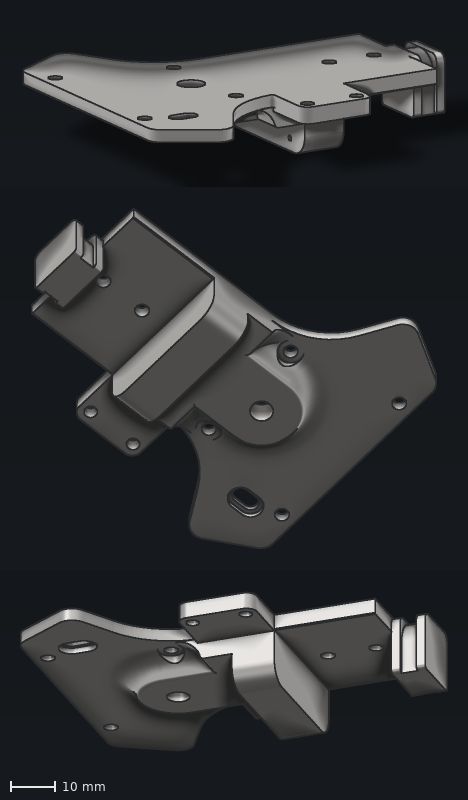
import cadquery as cq
import math


plate_thickness = 3.0
body_half_width = 17.3
body_back_y = 54.3
front_y = -27.6
neck_arc_start_y = 12.25
neck_arc_radius = 20.0
neck_turn = math.radians(60)
wing_side_length = 13.0
front_edge_half_width = 29.2
wing_corner_radius = 3.7

deck_thickness = 3.8
deck_edge_chamfer = 0.3
tab_thickness = 4.0
tab_right_x = 30.9
tab_front_y = 11.35
tab_corner_radius = 2.5
tab_root_radius = 0.7

block_back_y = 29.9
block_depth = 8.0
flare_radius = 6.0
bottom_edge_radius = 1.0
boss_flare_reach = 15.3
block_flare_front_y = 6.0

bar_depth = 16.0
bar_length = 10.3
bar_corner_radius = 4.9

spool_width = 14.05
spool_height = 14.1
spool_length = 8.2
flange_length = 2.2
flange_top_radius = 2.0
flange_bottom_radius = 1.0
spool_core_radius = 6.0

pivot_top_diameter = 6.4
pivot_bottom_diameter = 5.2
mount_hole_diameter = 3.2
rear_hole_points = [(0, 48.0), (0, 36.3)]
shoulder_hole_points = [(-13.9, 3.6), (13.9, 3.6)]
front_hole_points = [(-19.9, -24.0), (19.9, -24.0)]
mount_hole_points = rear_hole_points + shoulder_hole_points + front_hole_points
head_clearance_diameter = 6.0
tab_hole_diameter = 3.0
tab_hole_points = [(27.8, 27.0), (27.8, 14.1)]
slot_width = 4.0
slot_length = 6.9
slot_recess_z = 1.5
slot_recess_margin = 1.0
slot_center = (22.9, -15.6)
pin_hole_diameter = 1.3
pin_hole_depth = 7.2
pin_hole_x = 10.6
pin_hole_z = -13.0

selection_margin = 0.9


def box(x_min, x_max, y_min, y_max, z_min, z_max):
    size = (x_max - x_min, y_max - y_min, z_max - z_min)
    return cq.Workplane("XY").box(*size, centered=False).translate((x_min, y_min, z_min))


def make_plate():
    """Flat plate whose narrow body sweeps out into two square-ended wings at the front."""
    turn_x = body_half_width + neck_arc_radius * (1 - math.cos(neck_turn))
    turn_y = neck_arc_start_y - neck_arc_radius * math.sin(neck_turn)
    middle_x = body_half_width + neck_arc_radius * (1 - math.cos(neck_turn / 2))
    middle_y = neck_arc_start_y - neck_arc_radius * math.sin(neck_turn / 2)
    wing_x = turn_x + wing_side_length * math.sin(neck_turn)
    wing_y = turn_y - wing_side_length * math.cos(neck_turn)
    plate = (
        cq.Workplane("XY")
        .moveTo(-body_half_width, body_back_y)
        .lineTo(-body_half_width, neck_arc_start_y)
        .threePointArc((-middle_x, middle_y), (-turn_x, turn_y))
        .lineTo(-wing_x, wing_y)
        .lineTo(-front_edge_half_width, front_y)
        .lineTo(front_edge_half_width, front_y)
        .lineTo(wing_x, wing_y)
        .lineTo(turn_x, turn_y)
        .threePointArc((middle_x, middle_y), (body_half_width, neck_arc_start_y))
        .lineTo(body_half_width, body_back_y)
        .close()
        .extrude(-plate_thickness)
    )
    wing_corners = cq.selectors.BoxSelector(
        (-wing_x - selection_margin, front_y - selection_margin, -plate_thickness),
        (wing_x + selection_margin, wing_y + selection_margin, 0),
    )
    return plate.edges("|Z").edges(wing_corners).fillet(wing_corner_radius)


def make_deck():
    """Thicker rear part of the plate, with its long lower edges chamfered."""
    deck = box(-body_half_width, body_half_width, block_back_y, body_back_y, -deck_thickness, 0)
    return deck.edges("|Y and <Z").chamfer(deck_edge_chamfer)


def make_tab():
    """Side tab with two rounded outer corners."""
    tab = box(0, tab_right_x, tab_front_y, block_back_y, -tab_thickness, 0)
    return tab.edges("|Z and >X").fillet(tab_corner_radius)


def flare_profile(plane, outer, inside):
    """Section of an underside wall that ends at outer: a concave flare tangent to the plate bottom,
    running tangent into the rounded bottom edge."""
    flare_z = -plate_thickness - flare_radius
    edge_z = -block_depth + bottom_edge_radius
    lean = math.asin((edge_z - flare_z) / (flare_radius + bottom_edge_radius))
    edge_x = outer - (flare_radius + bottom_edge_radius) * math.cos(lean)

    def on_flare(angle):
        return (outer - flare_radius * math.cos(angle), flare_z + flare_radius * math.sin(angle))

    def on_edge(angle):
        return (
            edge_x + bottom_edge_radius * math.cos(angle),
            edge_z - bottom_edge_radius * math.sin(angle),
        )

    right_angle = math.pi / 2
    middle = (lean + right_angle) / 2
    return (
        cq.Workplane(plane)
        .moveTo(inside, -plate_thickness)
        .lineTo(inside, -block_depth)
        .lineTo(edge_x, -block_depth)
        .threePointArc(on_edge(middle), on_edge(lean))
        .threePointArc(on_flare(middle), on_flare(right_angle))
        .close()
    )


def make_underside():
    """Full-width block with a flared end, and a round-ended flared boss around the pivot."""
    block = (
        flare_profile("YZ", -block_flare_front_y, -block_back_y)
        .extrude(body_half_width, both=True)
        .mirror("XZ")
    )
    nose = flare_profile("XZ", boss_flare_reach, 0).revolve(360, (0, 0, 0), (0, 1, 0))
    side = flare_profile("XZ", boss_flare_reach, 0).extrude(-block_back_y / 2)
    return block.union(nose).union(side).union(side.mirror("YZ"))


def make_bar():
    """Bar hanging below the block, with round lower corners and two blind, pointed pin holes."""
    bar = box(
        -body_half_width, body_half_width, block_back_y - bar_length, block_back_y, -bar_depth, 0
    )
    bar = bar.edges("|Y and <Z").fillet(bar_corner_radius)
    front_face_y = block_back_y - bar_length
    pin_radius = pin_hole_diameter / 2
    inward = cq.Vector(0, 1, 0)
    for x in (-pin_hole_x, pin_hole_x):
        mouth = cq.Vector(x, front_face_y, pin_hole_z)
        bar = bar.cut(cq.Solid.makeCylinder(pin_radius, pin_hole_depth, mouth, inward))
        tip_base = mouth + inward * pin_hole_depth
        bar = bar.cut(cq.Solid.makeCone(pin_radius, 0, pin_radius, tip_base, inward))
    return bar


def make_spool():
    """Two rounded flanges joined by a core that is round on top and straight-sided below."""
    back_y = body_back_y + spool_length
    half_width = spool_width / 2
    flange = box(-half_width, half_width, body_back_y, body_back_y + flange_length, -spool_height, 0)
    flange = flange.edges("|Y and >Z").fillet(flange_top_radius)
    flange = flange.edges("|Y and <Z").fillet(flange_bottom_radius)
    core = box(
        -spool_core_radius, spool_core_radius, body_back_y, back_y, -spool_height, -spool_core_radius
    )
    round_top = (
        cq.Workplane("XZ", origin=(0, body_back_y, -spool_core_radius))
        .circle(spool_core_radius)
        .extrude(-spool_length)
    )
    back_flange = flange.translate((0, spool_length - flange_length, 0))
    return core.union(round_top).union(flange).union(back_flange)


def vertical_holes(points, diameter, top_z=0):
    """Cylinders running down from top_z through the whole part."""
    return (
        cq.Workplane("XY", origin=(0, 0, top_z))
        .pushPoints(points)
        .circle(diameter / 2)
        .extrude(-bar_depth)
    )


def make_pivot_hole():
    """Through hole that tapers from the top of the plate to the bottom of the boss."""
    return (
        cq.Workplane("XY")
        .circle(pivot_top_diameter / 2)
        .workplane(offset=-block_depth)
        .circle(pivot_bottom_diameter / 2)
        .loft()
    )


def make_slot():
    """Slot through the wing, widened all round in the lower part of the plate."""
    slot = cq.Workplane("XY").center(*slot_center).slot2D(slot_length, slot_width, 90)
    recess = (
        cq.Workplane("XY", origin=(0, 0, -slot_recess_z))
        .center(*slot_center)
        .slot2D(slot_length + 2 * slot_recess_margin, slot_width + 2 * slot_recess_margin, 90)
    )
    return slot.extrude(-plate_thickness).union(recess.extrude(-plate_thickness))


def make_plate_with_tab():
    """Plate joined to the tab, with a small fillet in the front corner between them."""
    root_corner = cq.selectors.BoxSelector(
        (body_half_width - selection_margin, tab_front_y - selection_margin, -plate_thickness),
        (body_half_width + selection_margin, tab_front_y + selection_margin, 0),
    )
    return make_plate().union(make_tab()).edges("|Z").edges(root_corner).fillet(tab_root_radius)


result = (
    make_plate_with_tab()
    .union(make_deck())
    .union(make_underside())
    .union(make_bar())
    .union(make_spool())
    .cut(vertical_holes(mount_hole_points, mount_hole_diameter))
    .cut(vertical_holes(shoulder_hole_points, head_clearance_diameter, -plate_thickness))
    .cut(vertical_holes(tab_hole_points, tab_hole_diameter))
    .cut(make_pivot_hole())
    .cut(make_slot())
)